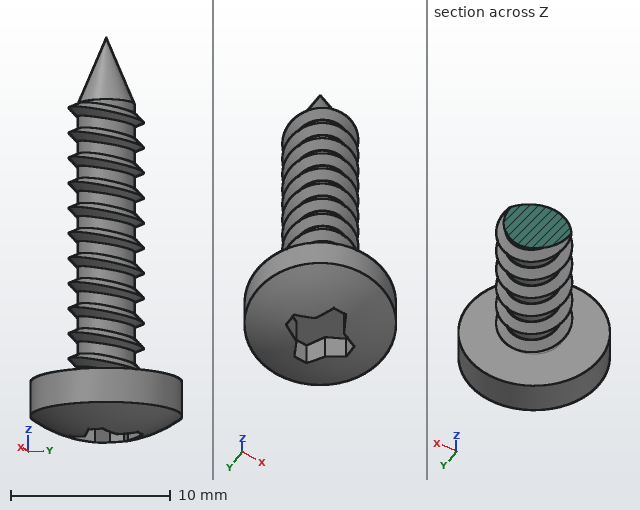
import cadquery as cq
import math

total_length = 25.57
head_radius = 4.75
rim_height = 2.17
dome_height = 1.4

arm_reach = 2.25
arm_tip_half_width = 0.45
recess_corner = 1.07
recess_depth = 2.05

shank_radius = 1.8
base_fillet = 0.15
point_length = 4.27

ridge_radius = 2.4
ridge_half_width = 0.43
ridge_tilt = 12.0
ridge_count = 11
first_ridge_z = 4.6
ridge_span = 16.0

head_top = dome_height + rim_height
point_base = total_length - point_length
ridge_pitch = ridge_span / (ridge_count - 1)

corner_radius = recess_corner * math.sqrt(2)
sphere_center_z = (head_radius**2 + dome_height**2 - corner_radius**2) / (2 * dome_height)
sphere_radius = math.hypot(corner_radius, sphere_center_z)
dome_apex_z = sphere_center_z - sphere_radius


def sphere_z(radius):
    """Height of the dome surface at a distance from the axis."""
    return sphere_center_z - math.sqrt(sphere_radius**2 - radius**2)


def body():
    """Domed head, filleted shank and sharp conical point, revolved about Z."""
    mid_radius = head_radius / 2
    fillet_inset = base_fillet * (1 - math.sqrt(0.5))
    fillet_middle = (shank_radius + fillet_inset, head_top + fillet_inset)
    return (
        cq.Workplane("XZ")
        .moveTo(0, dome_apex_z)
        .threePointArc((mid_radius, sphere_z(mid_radius)), (head_radius, dome_height))
        .lineTo(head_radius, head_top)
        .lineTo(shank_radius + base_fillet, head_top)
        .threePointArc(fillet_middle, (shank_radius, head_top + base_fillet))
        .lineTo(shank_radius, point_base)
        .lineTo(0, total_length)
        .close()
        .revolve(360, (0, 0), (0, 1))
    )


def cross_recess():
    """Cross-shaped cutter, reaching from the dome apex up to the recess floor."""
    outline = []
    for quarter in range(4):
        turn = math.radians(90 * quarter)
        for along, across in (
            (arm_reach, -arm_tip_half_width),
            (arm_reach, arm_tip_half_width),
            (recess_corner, recess_corner),
        ):
            x = along * math.cos(turn) - across * math.sin(turn)
            y = along * math.sin(turn) + across * math.cos(turn)
            outline.append((x, y))
    return (
        cq.Workplane("XY", origin=(0, 0, dome_apex_z))
        .polyline(outline)
        .close()
        .extrude(recess_depth - dome_apex_z)
    )


def ridge(center_z):
    """One V-edged ring around the shank, tilted about X so that its -Y side is high."""
    ring = (
        cq.Workplane("XZ")
        .moveTo(0, -ridge_half_width)
        .lineTo(shank_radius, -ridge_half_width)
        .lineTo(ridge_radius, 0)
        .lineTo(shank_radius, ridge_half_width)
        .lineTo(0, ridge_half_width)
        .close()
        .revolve(360, (0, 0), (0, 1))
    )
    return ring.rotate((0, 0, 0), (1, 0, 0), -ridge_tilt).translate((0, 0, center_z))


result = body().cut(cross_recess())
for index in range(ridge_count):
    result = result.union(ridge(first_ridge_z + index * ridge_pitch))